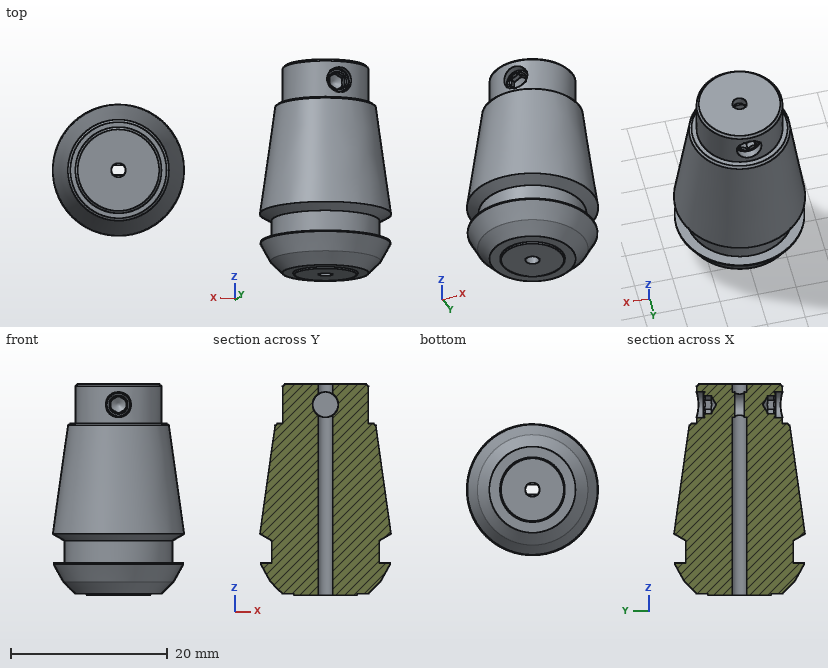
import cadquery as cq
import math

total_height = 27.0
stem_diameter = 11.0
stem_length = 5.05
stem_chamfer = 0.3
shoulder_chamfer_height = 0.25
shoulder_chamfer_width = 0.32
cone_max_diameter = 16.8
cone_half_angle = 8.0
cone_base_z = 7.85
groove_diameter = 13.8
groove_flank_angle = 30.0
rim_diameter = 16.6
rim_top_z = 4.15
rim_land = 0.15
lower_knee_diameter = 14.1
nose_diameter = 11.0
nose_height = 0.2
boss_top_diameter = 8.3
boss_bottom_diameter = 8.0

bore_diameter = 1.8

screw_axis_drop = 2.65
screw_diameter = 3.24
screw_tip_radius = 0.6
screw_length = 4.0
screw_chamfer = 0.15
socket_across_flats = 1.95
socket_depth = 1.0
socket_entry_diameter = 2.4
socket_drill_diameter = 2.08
socket_cone_half_angle = 60.0

screw_axis_z = total_height - screw_axis_drop
screw_head_radius = screw_tip_radius + screw_length
hexagon_corner_ratio = 1 / math.cos(math.radians(30))
socket_corner_diameter = socket_across_flats * hexagon_corner_ratio


def make_body():
    shoulder_z = total_height - stem_length
    shoulder_edge_z = shoulder_z - shoulder_chamfer_height
    cone_height = shoulder_edge_z - cone_base_z
    cone_max_radius = cone_max_diameter / 2
    cone_top_radius = cone_max_radius - cone_height * math.tan(math.radians(cone_half_angle))
    groove_radius = groove_diameter / 2
    flank_height = (cone_max_radius - groove_radius) * math.tan(math.radians(groove_flank_angle))
    stem_radius = stem_diameter / 2
    rim_radius = rim_diameter / 2
    knee_z = nose_height + (lower_knee_diameter - nose_diameter) / 2
    half_profile = [
        (0, 0),
        (boss_bottom_diameter / 2, 0),
        (boss_top_diameter / 2, nose_height),
        (nose_diameter / 2, nose_height),
        (lower_knee_diameter / 2, knee_z),
        (rim_radius, rim_top_z - rim_land),
        (rim_radius, rim_top_z),
        (groove_radius, rim_top_z),
        (groove_radius, cone_base_z - flank_height),
        (cone_max_radius, cone_base_z),
        (cone_top_radius, shoulder_edge_z),
        (cone_top_radius - shoulder_chamfer_width, shoulder_z),
        (stem_radius, shoulder_z),
        (stem_radius, total_height - stem_chamfer),
        (stem_radius - stem_chamfer, total_height),
        (0, total_height),
    ]
    return cq.Workplane("XZ").polyline(half_profile).close().revolve(360, (0, 0), (0, 1))


def make_bore():
    return cq.Workplane("XY").circle(bore_diameter / 2).extrude(total_height)


def radial_plane(distance, side):
    """Plane across the screw axis, facing outward on the given Y side."""
    return cq.Plane(origin=(0, side * distance, screw_axis_z), xDir=(1, 0, 0), normal=(0, side, 0))


def make_screw_hole(side):
    hole_plane = cq.Workplane(radial_plane(0, side))
    return hole_plane.circle(screw_diameter / 2).extrude(stem_diameter)


def make_socket(side):
    """Hexagonal socket with a countersunk mouth and a conical drill-point floor."""
    floor_radius = screw_head_radius - socket_depth
    floor_plane = radial_plane(floor_radius, side)
    drill_radius = socket_drill_diameter / 2
    drill_depth = drill_radius / math.tan(math.radians(socket_cone_half_angle))
    hexagon = cq.Sketch().regularPolygon(socket_corner_diameter / 2, 6)
    prism = cq.Workplane(floor_plane).placeSketch(hexagon).extrude(socket_depth)
    prism_extension = cq.Workplane(floor_plane).placeSketch(hexagon).extrude(-drill_depth)
    outward = cq.Vector(0, side, 0)
    drill_point = cq.Solid.makeCone(
        drill_radius,
        0,
        drill_depth,
        pnt=floor_plane.origin,
        dir=outward * -1,
    )
    mouth_radius = socket_entry_diameter / 2
    mouth = cq.Solid.makeCone(
        mouth_radius,
        0,
        mouth_radius,
        pnt=radial_plane(screw_head_radius, side).origin,
        dir=outward * -1,
    )
    clipped_point = prism_extension.intersect(cq.Workplane(drill_point))
    return prism.union(clipped_point).union(cq.Workplane(mouth))


def make_screw(side):
    blank = (
        cq.Workplane(radial_plane(screw_tip_radius, side))
        .circle(screw_diameter / 2)
        .extrude(screw_length)
        .faces(">Y" if side > 0 else "<Y")
        .chamfer(screw_chamfer)
    )
    return blank.cut(make_socket(side))


result = make_body().cut(make_bore())
for side in (-1, 1):
    result = result.cut(make_screw_hole(side))
for side in (-1, 1):
    result = result.union(make_screw(side))